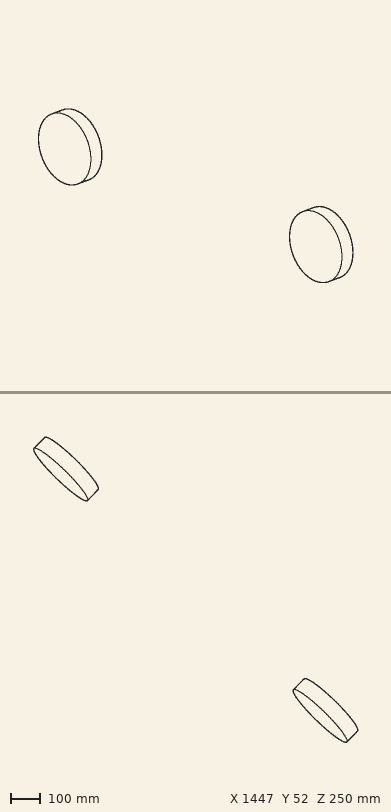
import cadquery as cq

overall_length = 1447.0
disc_diameter = 250.0
disc_thickness = 52.0

disc_spacing = overall_length - disc_diameter


def make_disc(center_x):
    """Flat round disc with its axis along Y, centred on the XZ plane."""
    return (
        cq.Workplane("XZ", origin=(center_x, disc_thickness / 2, 0))
        .circle(disc_diameter / 2)
        .extrude(disc_thickness)
    )


discs = [make_disc(side * disc_spacing / 2) for side in (-1, 1)]

result = cq.Compound.makeCompound([disc.val() for disc in discs])